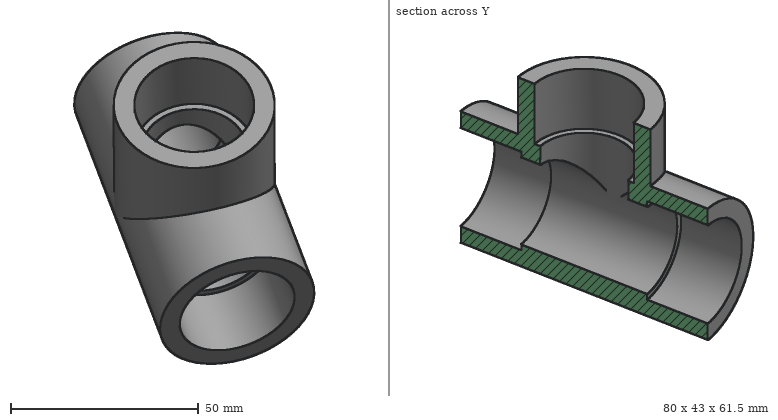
import cadquery as cq

outer_diameter = 43.0
socket_diameter = 32.0
bore_diameter = 28.33
run_length = 80.0
socket_depth = 19.6

end_distance = run_length / 2

run_left = cq.Vector(-1, 0, 0)
run_right = cq.Vector(1, 0, 0)
branch_up = cq.Vector(0, 0, 1)
arm_directions = (run_left, run_right, branch_up)


def arm_cylinder(direction, diameter, start, end):
    """Cylinder along one arm, between two distances from the tee centre."""
    return cq.Workplane(
        cq.Solid.makeCylinder(diameter / 2, end - start, direction * start, direction)
    )


def tee_body():
    """Solid outer shape: the run and the branch, meeting in mitred seams."""
    run = arm_cylinder(run_right, outer_diameter, -end_distance, end_distance)
    branch = arm_cylinder(branch_up, outer_diameter, 0, end_distance)
    return run.union(branch)


def cut_bores(body):
    """Flow passage straight through the run and up the branch."""
    run_bore = arm_cylinder(run_right, bore_diameter, -end_distance, end_distance)
    branch_bore = arm_cylinder(branch_up, bore_diameter, 0, end_distance)
    return body.cut(run_bore).cut(branch_bore)


def cut_sockets(body):
    """Wider pipe socket in each open end, stopping at a flat shoulder."""
    shoulder_distance = end_distance - socket_depth
    for direction in arm_directions:
        body = body.cut(arm_cylinder(direction, socket_diameter, shoulder_distance, end_distance))
    return body


result = cut_sockets(cut_bores(tee_body()))